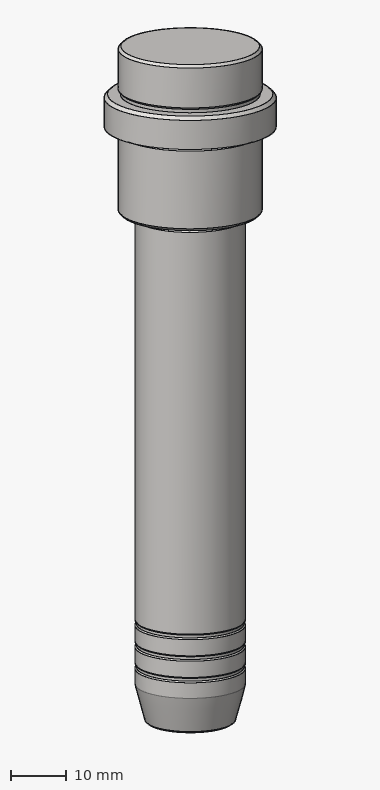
import cadquery as cq
import math

length = 126.0
flange_radius = 15.5
head_radius = 13.0
shaft_radius = 10.0
head_chamfer = 0.5
flange_chamfer = 0.6

flange_top = length - 9.0
flange_bottom = length - 15.0
head_bottom = length - 31.0

relief_width = 1.0
relief_depth = 0.4

groove_width = 1.0
groove_depth = 0.3
groove_bevel = 0.3
groove_pitch = 4.0
lowest_groove = 10.0
groove_count = 3

tip_height = 7.0
tip_radius = 8.1
tip_middle_radius = 9.1
tip_chamfer = 0.4


def cylinder(radius, bottom, top):
    return cq.Workplane("XY").workplane(offset=bottom).circle(radius).extrude(top - bottom)


def beveled_groove(radius, bottom, width, depth, bevel):
    """Ring to cut from a cylinder, with both walls sloping down to a flat floor."""
    top = bottom + width
    section = [
        (radius, bottom),
        (radius - depth, bottom + bevel),
        (radius - depth, top - bevel),
        (radius, top),
    ]
    return cq.Workplane("XZ").polyline(section).close().revolve(360, (0, 0), (0, 1))


def shoulder_relief(radius, shoulder, run_out):
    """Ring to cut beside a shoulder, sloping back out to the cylinder at the run-out level."""
    slope = math.copysign(relief_depth, shoulder - run_out)
    section = [
        (radius, run_out),
        (radius - relief_depth, run_out + slope),
        (radius - relief_depth, shoulder),
        (radius, shoulder),
    ]
    return cq.Workplane("XZ").polyline(section).close().revolve(360, (0, 0), (0, 1))


def make_tip():
    profile = (
        cq.Workplane("XZ")
        .lineTo(tip_radius, 0)
        .threePointArc((tip_middle_radius, tip_height / 2), (shaft_radius, tip_height))
        .lineTo(0, tip_height)
        .close()
    )
    return profile.revolve(360, (0, 0), (0, 1)).faces("<Z").chamfer(tip_chamfer)


shaft = cylinder(shaft_radius, tip_height, head_bottom)
head = cylinder(head_radius, head_bottom, length).faces("<Z or >Z").chamfer(head_chamfer)
flange = cylinder(flange_radius, flange_bottom, flange_top).faces(">Z").chamfer(flange_chamfer)

head = head.cut(shoulder_relief(head_radius, flange_top, flange_top + relief_width))
head = head.cut(shoulder_relief(head_radius, flange_bottom, flange_bottom - relief_width))
shaft = shaft.cut(shoulder_relief(shaft_radius, head_bottom, head_bottom - relief_width))

for index in range(groove_count):
    groove_bottom = lowest_groove + index * groove_pitch
    ring = beveled_groove(shaft_radius, groove_bottom, groove_width, groove_depth, groove_bevel)
    shaft = shaft.cut(ring)

result = make_tip().union(shaft).union(head).union(flange)